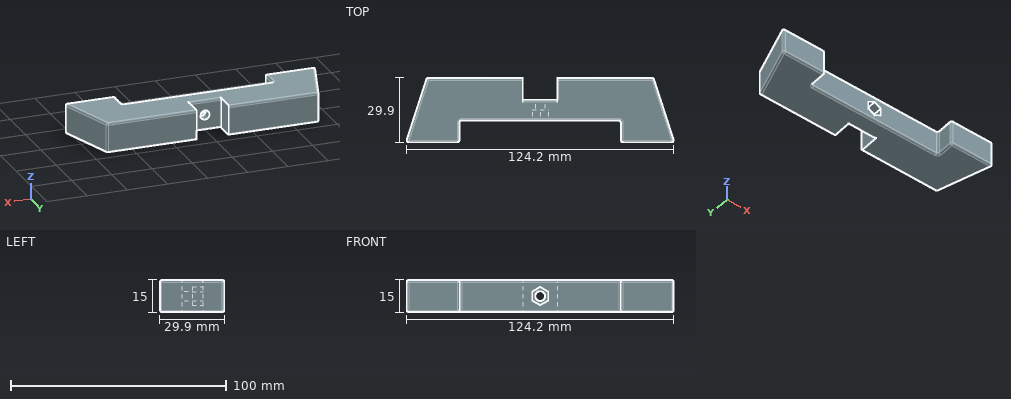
import cadquery as cq
import math

length = 124.2
depth = 29.9
height = 15.0
edge_radius = 1.0
end_angle = 18.0

channel_width = 75.0
channel_depth = 10.0
notch_width = 16.0
notch_depth = 10.0

hole_diameter = 4.5
nut_across_flats = 7.3
nut_depth = 5.0

front_y = -depth / 2
rear_y = depth / 2
channel_y = front_y + channel_depth
notch_y = rear_y - notch_depth

corner_angle = math.radians(90 - end_angle)
front_half = length / 2 - edge_radius + edge_radius / math.tan(corner_angle / 2)
rear_half = front_half - depth * math.tan(math.radians(end_angle))
channel_half = channel_width / 2


def rounded_body():
    """Trapezoidal bar with the front channel, every edge rounded."""
    outline = [
        (-front_half, front_y),
        (-channel_half, front_y),
        (-channel_half, channel_y),
        (channel_half, channel_y),
        (channel_half, front_y),
        (front_half, front_y),
        (rear_half, rear_y),
        (-rear_half, rear_y),
    ]
    bar = cq.Workplane("XY").polyline(outline).close().extrude(height / 2, both=True)
    return bar.edges().fillet(edge_radius)


def rear_notch():
    """Notch cutter whose floor is rounded along its top and bottom edges."""
    blank = cq.Workplane("XY").box(notch_width, depth, height)
    floor_block = (
        cq.Workplane("XY")
        .box(notch_width, depth, height)
        .translate((0, notch_y - depth / 2, 0))
        .edges(">Y and |X")
        .fillet(edge_radius)
    )
    return blank.cut(floor_block)


def screw_hole():
    """Through hole along Y with a nut pocket opening into the channel."""
    hole = cq.Workplane("XZ").circle(hole_diameter / 2).extrude(depth, both=True)
    across_corners = nut_across_flats / math.cos(math.radians(30))
    nut_pocket = (
        cq.Workplane("XZ", origin=(0, channel_y + nut_depth, 0))
        .transformed(rotate=(0, 0, 90))
        .polygon(6, across_corners)
        .extrude(nut_depth)
    )
    return hole.union(nut_pocket)


result = rounded_body().cut(rear_notch()).cut(screw_hole())